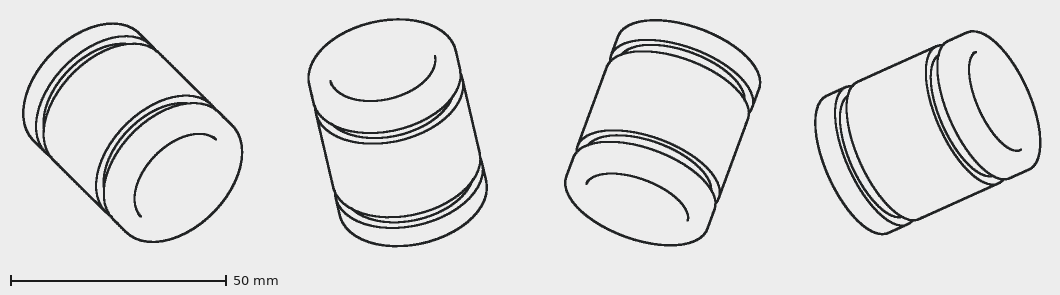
import cadquery as cq

length = 40.0
outer_diameter = 35.0
bore_diameter = 25.0
edge_radius = 0.5

groove_diameter = 30.9
groove_width = 3.2
middle_band_length = 22.1


def cylinder(diameter, width, start_x):
    """Solid cylinder along +X beginning at start_x."""
    return cq.Workplane("YZ", origin=(start_x, 0, 0)).circle(diameter / 2).extrude(width)


def groove_ring(start_x):
    """Material removed by one outer groove."""
    outside = cylinder(outer_diameter, groove_width, start_x)
    return outside.cut(cylinder(groove_diameter, groove_width, start_x))


sleeve = cylinder(outer_diameter, length, -length / 2)
sleeve = sleeve.cut(cylinder(bore_diameter, length, -length / 2))
sleeve = sleeve.faces("<X or >X").edges().fillet(edge_radius)

for groove_start in (-middle_band_length / 2 - groove_width, middle_band_length / 2):
    sleeve = sleeve.cut(groove_ring(groove_start))

result = sleeve